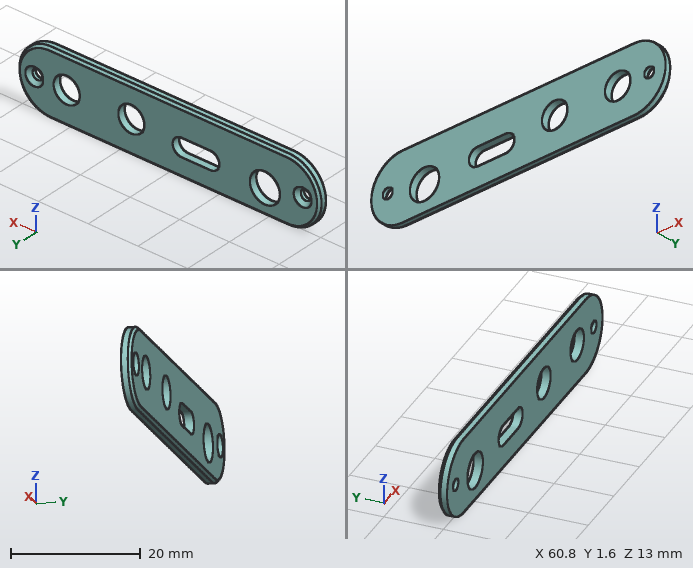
import cadquery as cq

length = 60.8
height = 13.0
thickness = 1.6
back_edge_chamfer = 0.5

screw_hole_diameter = 2.0
screw_hole_offset = 27.0
screw_sink_depth = 0.8
screw_sink_taper = 45
screw_sink_diameter = screw_hole_diameter + 2 * screw_sink_depth

large_hole_diameter = 6.0
large_hole_x = -19.4
large_hole_z = -1.4

pair_hole_diameter = 5.2
pair_hole_spacing = 13.0
pair_first_x = 7.5
pair_z = 0.2

slot_length = 9.35
slot_height = 3.5
slot_x = -5.55
slot_z = -0.85


def front_plane():
    """Sketch plane on the front face; negative extrusion runs toward the back (+Y)."""
    return cq.Workplane("XZ", origin=(0, -thickness / 2, 0))


def make_plate():
    plate = front_plane().slot2D(length, height).extrude(-thickness)
    return plate.faces(">Y").edges().chamfer(back_edge_chamfer)


def round_cutter(diameter, centers):
    return front_plane().pushPoints(centers).circle(diameter / 2).extrude(-thickness)


def slot_cutter():
    return front_plane().center(slot_x, slot_z).slot2D(slot_length, slot_height).extrude(-thickness)


def screw_sink_cutter(centers):
    """Cones that widen the screw holes toward the back face."""
    sinks = cq.Workplane("XZ", origin=(0, thickness / 2, 0)).pushPoints(centers)
    sinks = sinks.circle(screw_sink_diameter / 2)
    return sinks.extrude(screw_sink_depth, taper=screw_sink_taper)


screw_centers = [(-screw_hole_offset, 0), (screw_hole_offset, 0)]
large_centers = [(large_hole_x, large_hole_z)]
pair_centers = [(pair_first_x + i * pair_hole_spacing, pair_z) for i in range(2)]

result = make_plate().cut(slot_cutter())
for hole_diameter, hole_centers in (
    (screw_hole_diameter, screw_centers),
    (large_hole_diameter, large_centers),
    (pair_hole_diameter, pair_centers),
):
    result = result.cut(round_cutter(hole_diameter, hole_centers))
result = result.cut(screw_sink_cutter(screw_centers))